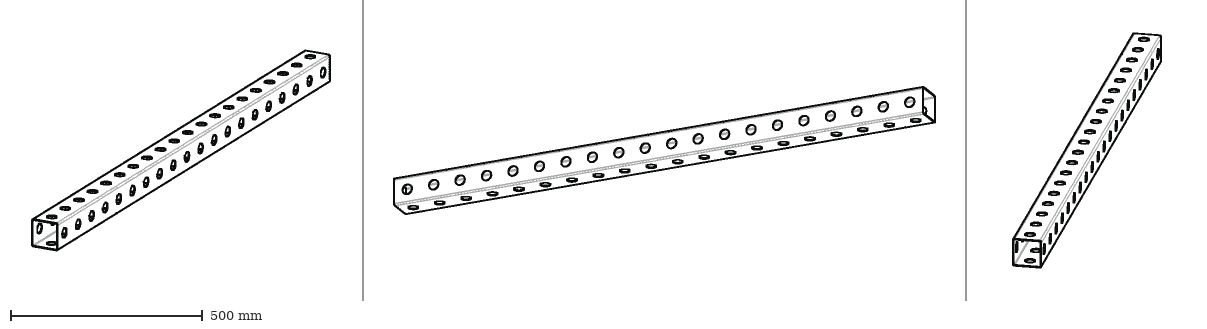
import cadquery as cq

length = 1524.0
side = 76.0
wall = 3.0
outer_radius = 5.0
inner_radius = outer_radius - wall

hole_radius = 13.4
hole_count = 20
hole_pitch = length / hole_count


def square_bar(width, corner_radius):
    """Solid square bar centred on the origin, rounded along its length."""
    bar = cq.Workplane("XY").box(width, length, width)
    return bar.edges("|Y").fillet(corner_radius)


def vertical_hole_row():
    """Row of round cutters along Y, passing through the top and bottom walls."""
    first_y = (hole_pitch - length) / 2
    centres = [(0, first_y + i * hole_pitch) for i in range(hole_count)]
    return (
        cq.Workplane("XY")
        .pushPoints(centres)
        .circle(hole_radius)
        .extrude(side, both=True)
    )


tube = square_bar(side, outer_radius).cut(square_bar(side - 2 * wall, inner_radius))

top_bottom_holes = vertical_hole_row()
side_holes = top_bottom_holes.rotate((0, 0, 0), (0, 1, 0), 90)

result = tube.cut(top_bottom_holes).cut(side_holes)